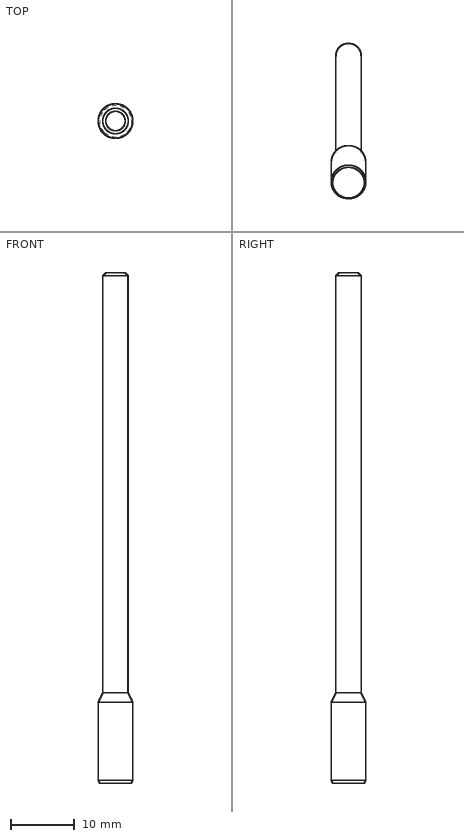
import cadquery as cq

total_length = 80.0
rod_diameter = 4.0
head_diameter = 5.4

head_straight_length = 12.7
taper_length = 1.4
head_length = head_straight_length + taper_length
head_chamfer_height = 0.5
head_chamfer_width = 0.2

rod_length = total_length - head_length
rod_chamfer = 0.5


def make_head():
    """Turned head with a steeply chamfered bottom rim and a tapered shoulder."""
    head_radius = head_diameter / 2
    profile = (
        cq.Workplane("XZ")
        .moveTo(0, 0)
        .lineTo(head_radius - head_chamfer_width, 0)
        .lineTo(head_radius, head_chamfer_height)
        .lineTo(head_radius, head_straight_length)
        .lineTo(rod_diameter / 2, head_length)
        .lineTo(0, head_length)
        .close()
    )
    return profile.revolve(360, (0, 0, 0), (0, 1, 0))


def make_rod():
    """Plain round rod with a chamfered free end."""
    rod = cq.Workplane("XY").workplane(offset=head_length).circle(rod_diameter / 2).extrude(rod_length)
    return rod.faces(">Z").edges().chamfer(rod_chamfer)


head = make_head()
rod = make_rod()

result = cq.Compound.makeCompound([head.val(), rod.val()])